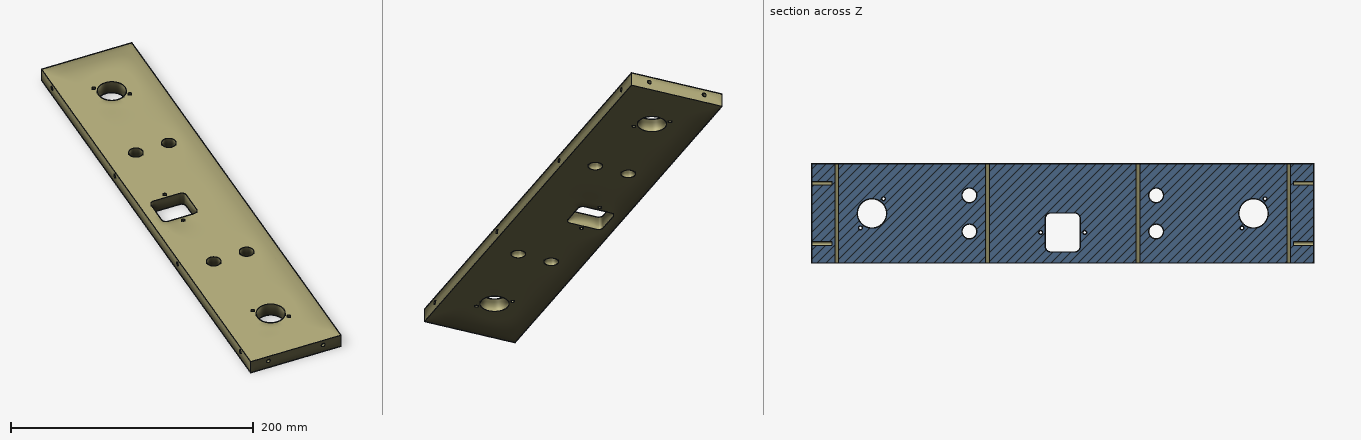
import cadquery as cq

length = 414.0
width = 82.0
thickness = 12.0

port_x = 157.5
port_diameter = 24.0
port_screw_dx = 9.5
port_screw_dy = 12.0
screw_diameter = 3.0

button_x = 77.0
button_y = 15.0
button_diameter = 12.0

window_width = 28.5
window_height = 32.0
window_y = -15.7
window_corner_radius = 4.0
window_screw_x = 18.2

edge_hole_diameter = 3.5
end_hole_depth = 16.5
edge_hole_below_top = 5.0
long_edge_hole_count = 4
long_edge_hole_inset = 20.5
end_hole_y = 25.0

edge_hole_z = thickness - edge_hole_below_top
long_edge_hole_pitch = (length - 2 * long_edge_hole_inset) / (long_edge_hole_count - 1)


def through_holes(points, diameter):
    """Vertical cylinders that pass through the whole plate."""
    return cq.Workplane("XY").pushPoints(points).circle(diameter / 2).extrude(thickness)


def edge_hole(x, y, direction, depth):
    """Horizontal cylinder starting on an edge face of the plate."""
    return cq.Workplane(
        cq.Solid.makeCylinder(
            edge_hole_diameter / 2,
            depth,
            cq.Vector(x, y, edge_hole_z),
            cq.Vector(*direction),
        )
    )


plate = cq.Workplane("XY").box(length, width, thickness, centered=(True, True, False))

port_centres = [(-port_x, 0), (port_x, 0)]
port_screws = [
    (x + side * port_screw_dx, side * port_screw_dy)
    for x, _ in port_centres
    for side in (-1, 1)
]
button_centres = [(sx * button_x, sy * button_y) for sx in (-1, 1) for sy in (-1, 1)]
window_screws = [(-window_screw_x, window_y), (window_screw_x, window_y)]

plate = plate.cut(through_holes(port_centres, port_diameter))
plate = plate.cut(through_holes(port_screws + window_screws, screw_diameter))
plate = plate.cut(through_holes(button_centres, button_diameter))

window = (
    cq.Workplane("XY")
    .center(0, window_y)
    .rect(window_width, window_height)
    .extrude(thickness)
    .edges("|Z")
    .fillet(window_corner_radius)
)
plate = plate.cut(window)

for index in range(long_edge_hole_count):
    x = -length / 2 + long_edge_hole_inset + index * long_edge_hole_pitch
    plate = plate.cut(edge_hole(x, -width / 2, (0, 1, 0), width))

for side in (-1, 1):
    for y in (-end_hole_y, end_hole_y):
        plate = plate.cut(edge_hole(side * length / 2, y, (-side, 0, 0), end_hole_depth))

result = plate